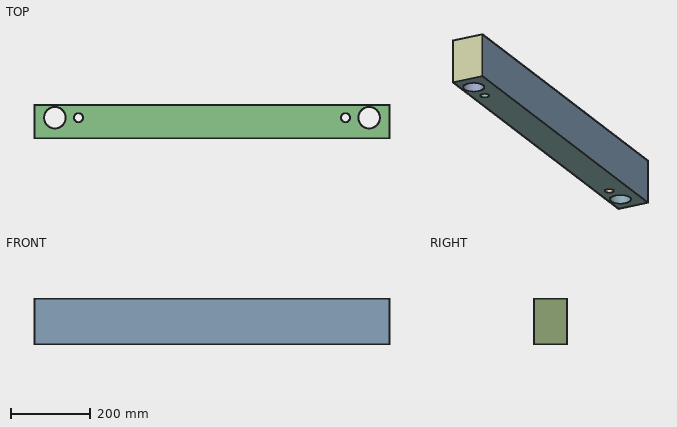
import cadquery as cq

length = 896.0
width = 84.0
height = 116.0

hole_line_y = 10.0
large_hole_diameter = 54.0
large_hole_spacing = 793.0
small_hole_diameter = 22.0
small_hole_spacing = 674.0


def drill_pair(body, diameter, spacing):
    """Drill two through holes placed symmetrically about the middle of the bar."""
    centers = [(side * spacing / 2, hole_line_y) for side in (-1, 1)]
    return (
        body.faces(">Z")
        .workplane(origin=(0, 0, height / 2))
        .pushPoints(centers)
        .hole(diameter)
    )


bar = cq.Workplane("XY").box(length, width, height)
bar = drill_pair(bar, large_hole_diameter, large_hole_spacing)
result = drill_pair(bar, small_hole_diameter, small_hole_spacing)